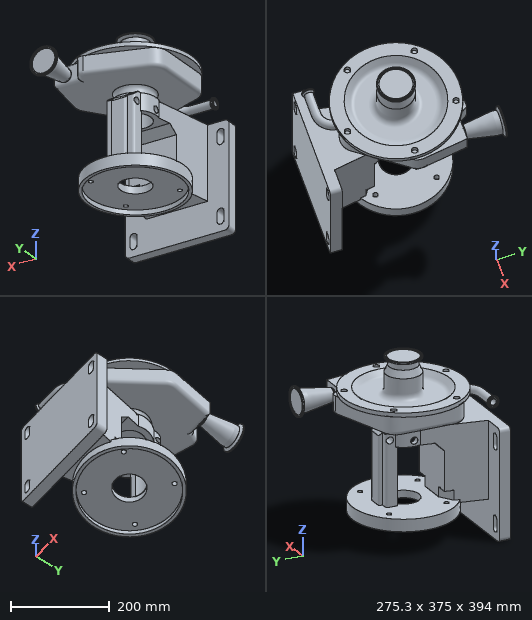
import cadquery as cq
import math


PLATE_SIDE = 250.0
PLATE_THICKNESS = 25.2
PLATE_FRONT_Y = -180.0
PLATE_BACK_Y = PLATE_FRONT_Y + PLATE_THICKNESS
PLATE_CORNER_RADIUS = 10.0
SLOT_LENGTH = 36.2
SLOT_WIDTH = 16.0
SLOT_OFFSET_X = 105.0
SLOT_OFFSET_Z = 90.2

MOTOR_FLANGE_RADIUS = 115.5
MOTOR_FLANGE_BOTTOM = 55.0
MOTOR_FLANGE_TOP = 83.0
MOTOR_BORE_RADIUS = 35.5
MOTOR_BORE_LIP = 17.0
MOTOR_REGISTER_RADIUS = 108.0
MOTOR_BOLT_CIRCLE_RADIUS = 92.0
MOTOR_BOLT_DIAMETER = 10.2
MOTOR_BOLT_COUNT = 4

RING_RADIUS = 50.0
RING_BOTTOM = 212.8
RING_TOP = 253.0
RING_BORE_RADIUS = 36.2
RING_HOLE_DIAMETER = 15.5
RING_HOLE_Z = 225.8
ARM_TOP = PLATE_SIDE
ARM_BOTTOM = 77.0
ARM_INNER_Y = -64.2
ARM_CHAMFER = 19.0
ARM_HALF_WIDTH_AT_PLATE = 74.0
ARM_HALF_WIDTH_AT_AXIS = 45.5
RELIEF_DEPTH_X = 30.0
RELIEF_DEPTH_Y = 20.0
RELIEF_HEIGHT = 21.5

POST_HALF_WIDTH = 35.0
POST_FRONT_Y = 30.7
POST_BACK_Y = 56.5
POST_CORNER_RADIUS = 6.7
POST_RIB_HALF_WIDTH = 17.7
POST_RIB_BACK_Y = 64.5
POST_RIB_CORNER_RADIUS = 4.0
POST_CHAMFER_Y = 20.5
POST_CHAMFER_Z = 17.0
POST_HOLE_DIAMETER = 15.0
POST_HOLE_Y = 47.5
POST_HOLE_Z = 229.7

NECK_RADIUS = 41.8
NECK_FLARE_HEIGHT = 9.5
NECK_FLARE_WIDTH = 4.7
NECK_FLARE_RADIUS = 11.5

CASING_BOTTOM = 273.0
CASING_TOP = 315.5
CASING_APOTHEM = 115.0
CASING_CORNER_RADIUS = 34.3
CASING_BOTTOM_FILLET = 9.0
CASING_SIDES = 5
OUTLET_FACE_Y = 111.5
OUTLET_CORNER_X = 123.7
OUTLET_SIDE_VERTEX = (142.2, 0.8)
LUG_Y = 134.0
LUG_CORNER_X = 52.8
LUG_FOOT = (64.5, 114.3)
LUG_CORNER_RADIUS = 8.0

COVER_RADIUS = 135.0
COVER_TOP = 325.0
COVER_BOLT_CIRCLE_RADIUS = 121.5
COVER_BOLT_DIAMETER = 13.0
BOWL_RIM_RADIUS = 105.0
BOWL_DEPTH = 15.8
BOWL_FILLET = 15.0
BOWL_WALL_ANGLE = math.radians(45)

INLET_RADIUS = 39.5
INLET_SHOULDER_Z = 359.5
INLET_THROAT_Z = 375.0
INLET_THROAT_RADIUS = 32.0
INLET_FACE_Z = 394.0

NOZZLE_X = 95.5
NOZZLE_Z = 293.5
NOZZLE_FACE_Y = 195.0
NOZZLE_THROAT_Y = 177.3
NOZZLE_END_Y = 114.5
NOZZLE_FLANGE_RADIUS = 32.7
NOZZLE_THROAT_RADIUS = 25.5
NOZZLE_END_RADIUS = 15.5
NOZZLE_ROOT_RADIUS = 13.0

DRAIN_Z = 295.5
DRAIN_Y = -158.5
DRAIN_FACE_X = -90.0
DRAIN_RADIUS = 10.0
DRAIN_BORE_RADIUS = 6.7
DRAIN_BEND_RADIUS = 35.0
DRAIN_FLANGE_RADIUS = 13.0

CLAMP_RIM = 2.8
CLAMP_TAPER = 4.0
GROOVE_WIDTH = 2.8
GROOVE_DEPTH = 1.0
GROOVE_MARGIN = 2.5

OVERLAP = 2.0


def cylinder(radius, bottom, top):
    return cq.Workplane("XY").workplane(offset=bottom).circle(radius).extrude(top - bottom)


def polar_point(radius, degrees):
    angle = math.radians(degrees)
    return (radius * math.cos(angle), radius * math.sin(angle))


def clamp_groove(flange_radius, face):
    """Gasket groove, cut into the face of a clamp flange that looks along +Z."""
    outer = flange_radius - GROOVE_MARGIN
    return (
        cq.Workplane("XY")
        .workplane(offset=face - GROOVE_DEPTH)
        .circle(outer)
        .circle(outer - GROOVE_WIDTH)
        .extrude(GROOVE_DEPTH)
    )


def mounting_plate():
    middle_z = PLATE_SIDE / 2
    plate = (
        cq.Workplane("XZ", origin=(0, PLATE_BACK_Y, middle_z))
        .rect(PLATE_SIDE, PLATE_SIDE)
        .extrude(PLATE_THICKNESS)
        .edges("|Y")
        .fillet(PLATE_CORNER_RADIUS)
    )
    slots = (
        cq.Workplane("XZ", origin=(0, PLATE_BACK_Y, middle_z))
        .rect(2 * SLOT_OFFSET_X, 2 * SLOT_OFFSET_Z, forConstruction=True)
        .vertices()
        .slot2D(SLOT_LENGTH, SLOT_WIDTH, 90)
        .extrude(PLATE_THICKNESS)
    )
    return plate.cut(slots)


def motor_flange():
    flange = cylinder(MOTOR_FLANGE_RADIUS, MOTOR_FLANGE_BOTTOM, MOTOR_FLANGE_TOP)
    bolts = (
        cq.Workplane("XY")
        .workplane(offset=MOTOR_FLANGE_BOTTOM)
        .polarArray(MOTOR_BOLT_CIRCLE_RADIUS, 180 / MOTOR_BOLT_COUNT, 360, MOTOR_BOLT_COUNT)
        .circle(MOTOR_BOLT_DIAMETER / 2)
        .extrude(MOTOR_FLANGE_TOP - MOTOR_FLANGE_BOTTOM)
    )
    return flange.cut(bolts)


def motor_opening():
    """Bore through the motor flange, opening into a wide register recess below."""
    lip_bottom = MOTOR_FLANGE_TOP - MOTOR_BORE_LIP
    bore = cylinder(MOTOR_BORE_RADIUS, MOTOR_FLANGE_BOTTOM, MOTOR_FLANGE_TOP)
    return bore.union(cylinder(MOTOR_REGISTER_RADIUS, MOTOR_FLANGE_BOTTOM, lip_bottom))


def arm():
    """Bracket arm: a side profile, trimmed to a plan that narrows from the plate to the axis."""
    side = (
        cq.Workplane("YZ")
        .moveTo(PLATE_BACK_Y, ARM_BOTTOM)
        .lineTo(ARM_INNER_Y, ARM_BOTTOM)
        .lineTo(ARM_INNER_Y, RING_BOTTOM - ARM_CHAMFER)
        .lineTo(ARM_INNER_Y + ARM_CHAMFER, RING_BOTTOM)
        .lineTo(0, RING_BOTTOM)
        .lineTo(0, ARM_TOP)
        .lineTo(PLATE_BACK_Y, ARM_TOP)
        .close()
        .extrude(ARM_HALF_WIDTH_AT_PLATE, both=True)
    )
    plan = (
        cq.Workplane("XY")
        .moveTo(-ARM_HALF_WIDTH_AT_PLATE, PLATE_BACK_Y)
        .lineTo(ARM_HALF_WIDTH_AT_PLATE, PLATE_BACK_Y)
        .lineTo(ARM_HALF_WIDTH_AT_AXIS, 0)
        .lineTo(-ARM_HALF_WIDTH_AT_AXIS, 0)
        .close()
        .extrude(ARM_TOP)
    )
    return side.intersect(plan).cut(bolt_reliefs())


def bolt_reliefs():
    """Slanted cuts at the foot of the arm that clear the two nearest motor bolts."""
    taper = (ARM_HALF_WIDTH_AT_PLATE - ARM_HALF_WIDTH_AT_AXIS) / -PLATE_BACK_Y
    outer_y = ARM_INNER_Y - RELIEF_DEPTH_Y
    outer_x = ARM_HALF_WIDTH_AT_AXIS - taper * outer_y
    relief = (
        cq.Workplane("XY")
        .workplane(offset=MOTOR_FLANGE_TOP)
        .moveTo(outer_x, outer_y)
        .lineTo(outer_x, ARM_INNER_Y)
        .lineTo(outer_x - RELIEF_DEPTH_X, ARM_INNER_Y)
        .close()
        .extrude(RELIEF_HEIGHT)
    )
    return relief.union(relief.mirror("YZ"))


def rear_post():
    def bar(half_width, back_y, corner_radius):
        return (
            cq.Workplane("XY")
            .workplane(offset=MOTOR_FLANGE_TOP - OVERLAP)
            .moveTo(0, (POST_FRONT_Y + back_y) / 2)
            .rect(2 * half_width, back_y - POST_FRONT_Y)
            .extrude(RING_TOP - MOTOR_FLANGE_TOP + OVERLAP)
            .edges("|Z and >Y")
            .fillet(corner_radius)
        )

    post = bar(POST_HALF_WIDTH, POST_BACK_Y, POST_CORNER_RADIUS)
    post = post.union(bar(POST_RIB_HALF_WIDTH, POST_RIB_BACK_Y, POST_RIB_CORNER_RADIUS))
    top_chamfer = (
        cq.Workplane("YZ")
        .moveTo(POST_RIB_BACK_Y, RING_TOP)
        .lineTo(POST_RIB_BACK_Y - POST_CHAMFER_Y, RING_TOP)
        .lineTo(POST_RIB_BACK_Y, RING_TOP - POST_CHAMFER_Z)
        .close()
        .extrude(POST_HALF_WIDTH, both=True)
    )
    return post.cut(top_chamfer)


def bracket():
    """Plate, arm, bearing ring, post and motor flange as one casting."""
    body = mounting_plate().union(arm()).union(cylinder(RING_RADIUS, RING_BOTTOM, RING_TOP))
    body = body.cut(cylinder(RING_BORE_RADIUS, RING_BOTTOM, ARM_TOP))
    post = rear_post().cut(cylinder(RING_BORE_RADIUS, MOTOR_FLANGE_TOP - OVERLAP, ARM_TOP))
    ring_hole = (
        cq.Workplane("YZ", origin=(0, 0, RING_HOLE_Z))
        .circle(RING_HOLE_DIAMETER / 2)
        .extrude(-RING_RADIUS)
    )
    cross_hole = (
        cq.Workplane("YZ", origin=(0, POST_HOLE_Y, POST_HOLE_Z))
        .circle(POST_HOLE_DIAMETER / 2)
        .extrude(RING_RADIUS, both=True)
    )
    body = body.union(post).union(motor_flange())
    return body.cut(motor_opening()).cut(ring_hole).cut(cross_hole)


def neck():
    """Round neck that flares into the underside of the casing."""
    flare_start = CASING_BOTTOM - NECK_FLARE_HEIGHT
    outer = NECK_RADIUS + NECK_FLARE_WIDTH
    return (
        cq.Workplane("XZ")
        .moveTo(0, ARM_TOP)
        .lineTo(NECK_RADIUS, ARM_TOP)
        .lineTo(NECK_RADIUS, flare_start)
        .radiusArc((outer, CASING_BOTTOM), NECK_FLARE_RADIUS)
        .lineTo(outer, CASING_BOTTOM + OVERLAP)
        .lineTo(0, CASING_BOTTOM + OVERLAP)
        .close()
        .revolve(360, (0, 0), (0, 1))
    )


def casing():
    """Rounded pentagon with the outlet block and a small lug added on its +X +Y side."""
    height = CASING_TOP - CASING_BOTTOM
    vertex_radius = CASING_APOTHEM / math.cos(math.pi / CASING_SIDES)
    sector = 360 / CASING_SIDES
    left_back, left_front, front = [polar_point(vertex_radius, n * sector) for n in (2, 3, 4)]
    lug_start_x = left_back[0] + (LUG_Y - left_back[1]) / math.tan(math.radians(sector / 4))
    body = (
        cq.Workplane("XY")
        .workplane(offset=CASING_BOTTOM)
        .polyline(
            [
                left_back,
                left_front,
                front,
                OUTLET_SIDE_VERTEX,
                (OUTLET_CORNER_X, OUTLET_FACE_Y),
                (LUG_FOOT[0], OUTLET_FACE_Y),
                LUG_FOOT,
                (LUG_CORNER_X, LUG_Y),
                (lug_start_x, LUG_Y),
            ]
        )
        .close()
        .extrude(height)
    )
    middle_z = (CASING_BOTTOM + CASING_TOP) / 2
    for vertex in (left_back, left_front, front, OUTLET_SIDE_VERTEX):
        edge = cq.selectors.NearestToPointSelector((*vertex, middle_z))
        body = body.edges(edge).fillet(CASING_CORNER_RADIUS)
    lug_edge = cq.selectors.NearestToPointSelector((LUG_CORNER_X, LUG_Y, middle_z))
    body = body.edges(lug_edge).fillet(LUG_CORNER_RADIUS)
    return body.faces("<Z").edges().fillet(CASING_BOTTOM_FILLET)


def cover_disc():
    return cylinder(COVER_RADIUS, CASING_TOP, COVER_TOP)


def cover_bolt_holes():
    return (
        cq.Workplane("XY")
        .workplane(offset=CASING_TOP)
        .polarArray(COVER_BOLT_CIRCLE_RADIUS, 0, 360, CASING_SIDES)
        .circle(COVER_BOLT_DIAMETER / 2)
        .extrude(COVER_TOP - CASING_TOP)
    )


def bowl():
    """Ring-shaped dish around the inlet: sloping wall, flat floor, filleted at both sides."""
    floor_z = COVER_TOP - BOWL_DEPTH
    fillet_rise = BOWL_FILLET * (1 - math.cos(BOWL_WALL_ANGLE))
    wall_foot_radius = BOWL_RIM_RADIUS - (BOWL_DEPTH - fillet_rise) / math.tan(BOWL_WALL_ANGLE)
    floor_outer_radius = wall_foot_radius - BOWL_FILLET * math.sin(BOWL_WALL_ANGLE)
    return (
        cq.Workplane("XZ")
        .moveTo(INLET_RADIUS, COVER_TOP)
        .lineTo(INLET_RADIUS, floor_z + BOWL_FILLET)
        .radiusArc((INLET_RADIUS + BOWL_FILLET, floor_z), -BOWL_FILLET)
        .lineTo(floor_outer_radius, floor_z)
        .radiusArc((wall_foot_radius, floor_z + fillet_rise), -BOWL_FILLET)
        .lineTo(BOWL_RIM_RADIUS, COVER_TOP)
        .close()
        .revolve(360, (0, 0), (0, 1))
    )


def inlet():
    rim_bottom = INLET_FACE_Z - CLAMP_RIM
    body = (
        cq.Workplane("XZ")
        .moveTo(0, CASING_TOP)
        .lineTo(INLET_RADIUS, CASING_TOP)
        .lineTo(INLET_RADIUS, INLET_SHOULDER_Z)
        .lineTo(INLET_THROAT_RADIUS, INLET_THROAT_Z)
        .lineTo(INLET_THROAT_RADIUS, rim_bottom - CLAMP_TAPER)
        .lineTo(INLET_RADIUS, rim_bottom)
        .lineTo(INLET_RADIUS, INLET_FACE_Z)
        .lineTo(0, INLET_FACE_Z)
        .close()
        .revolve(360, (0, 0), (0, 1))
    )
    return body.cut(clamp_groove(INLET_RADIUS, INLET_FACE_Z))


def outlet_nozzle():
    """Conical nozzle, drawn along +Z and then laid down along +Y."""
    rim_start = NOZZLE_FACE_Y - CLAMP_RIM
    body = (
        cq.Workplane("XZ")
        .moveTo(0, OUTLET_FACE_Y - OVERLAP)
        .lineTo(NOZZLE_ROOT_RADIUS, OUTLET_FACE_Y - OVERLAP)
        .lineTo(NOZZLE_ROOT_RADIUS, NOZZLE_END_Y)
        .lineTo(NOZZLE_END_RADIUS, NOZZLE_END_Y)
        .lineTo(NOZZLE_THROAT_RADIUS, NOZZLE_THROAT_Y)
        .lineTo(NOZZLE_THROAT_RADIUS, rim_start - CLAMP_TAPER)
        .lineTo(NOZZLE_FLANGE_RADIUS, rim_start)
        .lineTo(NOZZLE_FLANGE_RADIUS, NOZZLE_FACE_Y)
        .lineTo(0, NOZZLE_FACE_Y)
        .close()
        .revolve(360, (0, 0), (0, 1))
        .cut(clamp_groove(NOZZLE_FLANGE_RADIUS, NOZZLE_FACE_Y))
    )
    return body.rotate((0, 0, 0), (1, 0, 0), -90).translate((NOZZLE_X, 0, NOZZLE_Z))


def drain_rod(radius, end_y):
    """Round rod along the drain path: from the drain face to a bend, then towards the casing."""
    bend_middle = polar_point(DRAIN_BEND_RADIUS, -45)
    path = (
        cq.Workplane("XY", origin=(0, 0, DRAIN_Z))
        .moveTo(DRAIN_FACE_X, DRAIN_Y)
        .lineTo(-DRAIN_BEND_RADIUS, DRAIN_Y)
        .threePointArc(
            (bend_middle[0] - DRAIN_BEND_RADIUS, bend_middle[1] + DRAIN_Y + DRAIN_BEND_RADIUS),
            (0, DRAIN_Y + DRAIN_BEND_RADIUS),
        )
        .lineTo(0, end_y)
    )
    section = cq.Workplane("YZ", origin=(DRAIN_FACE_X, DRAIN_Y, DRAIN_Z)).circle(radius)
    return section.sweep(path)


def drain_flange():
    """Clamp flange of the drain, drawn facing +Z and then turned to face -X."""
    flange = (
        cq.Workplane("XZ")
        .moveTo(0, -CLAMP_RIM - CLAMP_TAPER)
        .lineTo(DRAIN_RADIUS, -CLAMP_RIM - CLAMP_TAPER)
        .lineTo(DRAIN_FLANGE_RADIUS, -CLAMP_RIM)
        .lineTo(DRAIN_FLANGE_RADIUS, 0)
        .lineTo(0, 0)
        .close()
        .revolve(360, (0, 0), (0, 1))
    )
    return flange.rotate((0, 0, 0), (0, 1, 0), -90).translate((DRAIN_FACE_X, DRAIN_Y, DRAIN_Z))


def drain_groove():
    groove = clamp_groove(DRAIN_FLANGE_RADIUS, 0)
    return groove.rotate((0, 0, 0), (0, 1, 0), -90).translate((DRAIN_FACE_X, DRAIN_Y, DRAIN_Z))


def drain_pipe():
    """Pipe with its clamp flange; it reaches past the casing wall to join it all round."""
    pipe = drain_rod(DRAIN_RADIUS, -CASING_APOTHEM + DRAIN_RADIUS)
    return pipe.union(drain_flange()).cut(drain_groove())


pump = casing().union(cover_disc()).union(inlet()).cut(bowl()).cut(cover_bolt_holes())
pump = pump.union(neck()).union(outlet_nozzle()).union(drain_pipe())
pump = pump.cut(drain_rod(DRAIN_BORE_RADIUS, -CASING_APOTHEM))
result = bracket().union(pump)